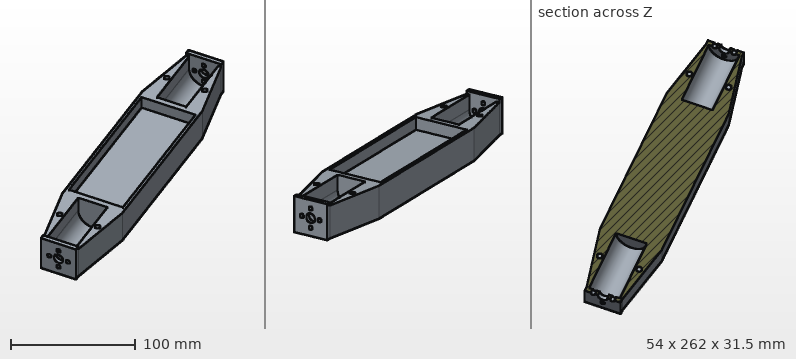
import cadquery as cq

total_length = 262.0
body_width = 54.0
body_height = 28.8
straight_length = 142.0

plate_size = 31.5
plate_thickness = 4.2

pocket_width = 48.5
pocket_length = 129.0
pocket_depth = 11.0

trough_width = 26.2
trough_length = 56.9
axis_height = plate_size / 2

shaft_hole_diameter = 8.0
bolt_hole_diameter = 3.5
bolt_circle_radius = 8.5

mount_hole_diameter = 4.5
mount_hole_depth = 13.0
mount_spacing_x = 34.0
mount_spacing_y = 190.2

half_length = total_length / 2
plate_inner_y = half_length - plate_thickness


def make_body():
    half_width = body_width / 2
    half_end = plate_size / 2
    half_straight = straight_length / 2
    outline = [
        (half_width, -half_straight),
        (half_width, half_straight),
        (half_end, plate_inner_y),
        (-half_end, plate_inner_y),
        (-half_width, half_straight),
        (-half_width, -half_straight),
        (-half_end, -plate_inner_y),
        (half_end, -plate_inner_y),
    ]
    return cq.Workplane("XY").polyline(outline).close().extrude(body_height)


def end_plane(y):
    """Plane on the motor axis at height axis_height, facing -Y."""
    return cq.Workplane("XZ", origin=(0, y, axis_height))


def make_end_plate():
    return end_plane(half_length).rect(plate_size, plate_size).extrude(plate_thickness)


def make_trough():
    radius = trough_width / 2
    top = body_height - axis_height
    return (
        end_plane(plate_inner_y)
        .moveTo(-radius, top)
        .lineTo(-radius, 0)
        .threePointArc((0, -radius), (radius, 0))
        .lineTo(radius, top)
        .close()
        .extrude(trough_length)
    )


def make_plate_holes():
    shaft_hole = end_plane(half_length).circle(shaft_hole_diameter / 2).extrude(plate_thickness)
    bolt_holes = (
        end_plane(half_length)
        .polarArray(bolt_circle_radius, 0, 360, 4)
        .circle(bolt_hole_diameter / 2)
        .extrude(plate_thickness)
    )
    return shaft_hole.union(bolt_holes)


def make_pocket():
    return (
        cq.Workplane("XY", origin=(0, 0, body_height - pocket_depth))
        .rect(pocket_width, pocket_length)
        .extrude(pocket_depth)
    )


def make_mount_holes():
    return (
        cq.Workplane("XY", origin=(0, 0, body_height - mount_hole_depth))
        .rect(mount_spacing_x, mount_spacing_y, forConstruction=True)
        .vertices()
        .circle(mount_hole_diameter / 2)
        .extrude(mount_hole_depth)
    )


result = make_body().cut(make_pocket()).cut(make_mount_holes())

plate = make_end_plate().cut(make_plate_holes())
trough = make_trough()
result = result.cut(trough).cut(trough.mirror("XZ"))
result = result.union(plate).union(plate.mirror("XZ"))